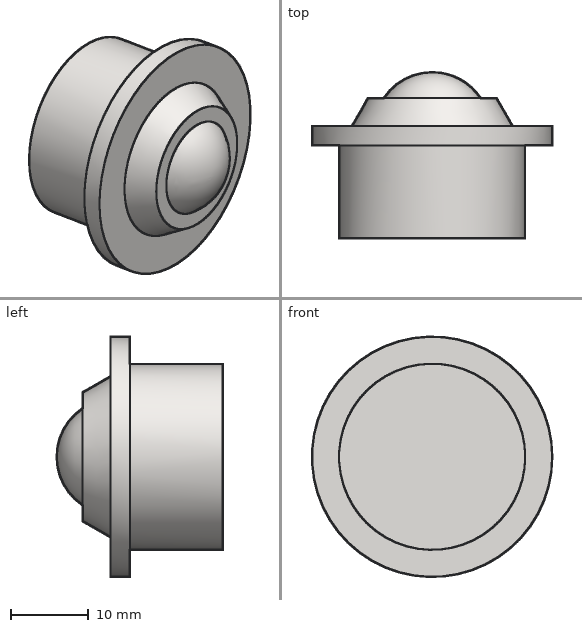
import cadquery as cq
import math

flange_diameter = 31.0
flange_thickness = 2.5
body_diameter = 24.0
body_length = 12.0
collar_base_diameter = 20.75
collar_top_diameter = 16.62
collar_height = 3.6
ball_radius = 7.5
ball_protrusion = 3.35

flange_start = body_length
flange_end = flange_start + flange_thickness
collar_end = flange_end + collar_height
ball_tip = collar_end + ball_protrusion
ball_center = ball_tip - ball_radius

cap_radius = math.sqrt(ball_radius**2 - (collar_end - ball_center) ** 2)
half_cap_angle = math.asin(cap_radius / ball_radius) / 2
cap_midpoint = (
    ball_radius * math.sin(half_cap_angle),
    ball_center + ball_radius * math.cos(half_cap_angle),
)

half_section = (
    cq.Workplane("XY")
    .moveTo(0, 0)
    .lineTo(body_diameter / 2, 0)
    .lineTo(body_diameter / 2, flange_start)
    .lineTo(flange_diameter / 2, flange_start)
    .lineTo(flange_diameter / 2, flange_end)
    .lineTo(collar_base_diameter / 2, flange_end)
    .lineTo(collar_top_diameter / 2, collar_end)
    .lineTo(cap_radius, collar_end)
    .threePointArc(cap_midpoint, (0, ball_tip))
    .close()
)

result = half_section.revolve(360, (0, 0, 0), (0, 1, 0))